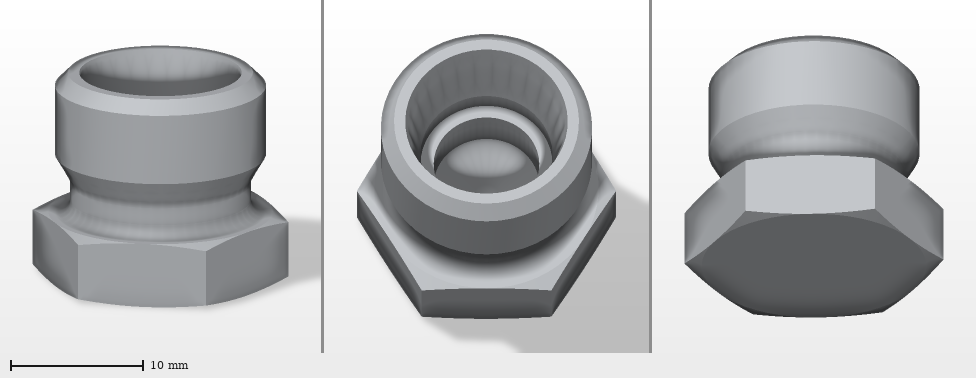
import cadquery as cq
import math

hex_width = 17.0
hex_height = 5.0
hex_chamfer_angle = 15.0
envelope_margin = 1.0
hex_corner_diameter = 2 * hex_width / math.sqrt(3)

total_height = 16.0
body_diameter = 16.0
top_chamfer = 1.0
neck_diameter = 13.7
neck_length = 2.6
neck_fillet = 1.0
taper_angle = 30.0

cone_mouth_diameter = 12.3
cone_half_angle = 12.0
tube_bore_diameter = 10.0
tube_bore_depth = 7.0
drill_diameter = 8.0
drill_depth = 10.5
drill_tip_angle = 120.0


def make_hexagon():
    """Hexagonal base, corners along Y, with both ends chamfered at the corners."""
    prism = (
        cq.Workplane("XY")
        .polygon(6, hex_corner_diameter)
        .extrude(hex_height)
        .rotate((0, 0, 0), (0, 0, 1), 90)
    )
    flat_radius = hex_width / 2
    envelope_radius = hex_corner_diameter / 2 + envelope_margin
    drop = (envelope_radius - flat_radius) * math.tan(math.radians(hex_chamfer_angle))
    envelope = (
        cq.Workplane("XZ")
        .moveTo(0, 0)
        .lineTo(flat_radius, 0)
        .lineTo(envelope_radius, drop)
        .lineTo(envelope_radius, hex_height - drop)
        .lineTo(flat_radius, hex_height)
        .lineTo(0, hex_height)
        .close()
        .revolve(360, (0, 0, 0), (0, 1, 0))
    )
    return prism.intersect(envelope)


def make_body():
    """Neck with a fillet at each end, taper and chamfered cylinder, as one revolve."""
    neck_radius = neck_diameter / 2
    body_radius = body_diameter / 2
    taper = math.radians(taper_angle)
    diagonal = neck_fillet * math.sqrt(0.5)

    fillet_center_r = neck_radius + neck_fillet

    lower_center_z = hex_height + neck_fillet

    taper_height = (body_radius - neck_radius) / math.tan(taper)
    taper_start_z = hex_height + neck_length
    body_bottom_z = taper_start_z + taper_height
    upper_center_z = taper_start_z - neck_fillet * math.tan(taper / 2)

    def upper_fillet_point(angle):
        return (
            fillet_center_r - neck_fillet * math.cos(angle),
            upper_center_z + neck_fillet * math.sin(angle),
        )

    return (
        cq.Workplane("XZ")
        .moveTo(0, hex_height)
        .lineTo(fillet_center_r, hex_height)
        .threePointArc(
            (fillet_center_r - diagonal, lower_center_z - diagonal),
            (neck_radius, lower_center_z),
        )
        .lineTo(*upper_fillet_point(0))
        .threePointArc(upper_fillet_point(taper / 2), upper_fillet_point(taper))
        .lineTo(body_radius, body_bottom_z)
        .lineTo(body_radius, total_height - top_chamfer)
        .lineTo(body_radius - top_chamfer, total_height)
        .lineTo(0, total_height)
        .close()
        .revolve(360, (0, 0, 0), (0, 1, 0))
    )


def make_bore():
    """Sealing cone, tube bore and blind drilled hole with a conical end."""
    mouth_radius = cone_mouth_diameter / 2
    tube_radius = tube_bore_diameter / 2
    drill_radius = drill_diameter / 2
    cone_depth = (mouth_radius - tube_radius) / math.tan(math.radians(cone_half_angle))
    tip_depth = drill_radius / math.tan(math.radians(drill_tip_angle / 2))
    shoulder_z = total_height - tube_bore_depth
    drill_end_z = total_height - drill_depth
    return (
        cq.Workplane("XZ")
        .moveTo(0, total_height)
        .lineTo(mouth_radius, total_height)
        .lineTo(tube_radius, total_height - cone_depth)
        .lineTo(tube_radius, shoulder_z)
        .lineTo(drill_radius, shoulder_z)
        .lineTo(drill_radius, drill_end_z)
        .lineTo(0, drill_end_z - tip_depth)
        .close()
        .revolve(360, (0, 0, 0), (0, 1, 0))
    )


result = make_hexagon().union(make_body()).cut(make_bore())